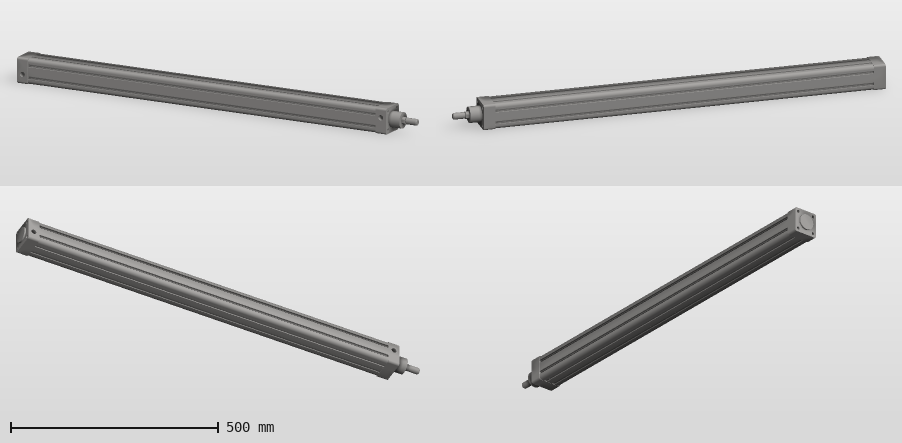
import cadquery as cq

total_length = 1079.0

cap_size = 65.0
cap_length = 29.0
cap_corner_radius = 5.0
spigot_diameter = 40.0
rear_spigot_length = 4.0
front_spigot_length = 29.0

mount_hole_spacing = 45.0
mount_hole_diameter = 8.0
mount_hole_depth = 16.0

port_diameter = 13.0
port_depth = 11.0
port_offset = 9.0

tube_size = 64.0
tube_corner_radius = 9.0
side_slot_offset = 15.0
side_slot_mouth_width = 8.0
side_slot_mouth_depth = 4.0
side_slot_width = 3.0
side_slot_depth = 6.0
top_slot_offset = 12.0
top_slot_width = 6.0
top_slot_depth = 2.0

rod_diameter = 18.0
neck_length = 9.0
flats_width = 16.0
thread_diameter = 16.0
thread_length = 31.0
thread_chamfer = 2.0

rear_cap_start = rear_spigot_length
tube_start = rear_cap_start + cap_length
neck_start = total_length - thread_length - neck_length
front_face = neck_start - front_spigot_length
tube_end = front_face - cap_length
thread_start = neck_start + neck_length


def plane_at(x):
    """Sketch plane facing +X: local x is +Y, local y is +Z."""
    return cq.Workplane("YZ", origin=(x, 0, 0))


def square_bar(start, length, size, corner_radius):
    """Square bar along X with rounded long edges."""
    return plane_at(start).rect(size, size).extrude(length).edges("|X").fillet(corner_radius)


def mount_holes(face_x, direction):
    """Four round cutters starting at a cap's outer face, running along direction (+1 or -1)."""
    return (
        plane_at(face_x)
        .rect(mount_hole_spacing, mount_hole_spacing, forConstruction=True)
        .vertices()
        .circle(mount_hole_diameter / 2)
        .extrude(direction * mount_hole_depth)
    )


def port(x, z):
    """Round blind cutter entering a cap from its -Y side."""
    return (
        cq.Workplane("XZ", origin=(x, -cap_size / 2, z))
        .circle(port_diameter / 2)
        .extrude(-port_depth)
    )


def make_rear_cap():
    spigot = plane_at(0).circle(spigot_diameter / 2).extrude(rear_spigot_length)
    return (
        square_bar(rear_cap_start, cap_length, cap_size, cap_corner_radius)
        .union(spigot)
        .cut(mount_holes(rear_cap_start, 1))
        .cut(port(rear_cap_start + cap_length / 2, -port_offset))
    )


def make_front_cap():
    spigot = plane_at(front_face).circle(spigot_diameter / 2).extrude(front_spigot_length)
    return (
        square_bar(tube_end, cap_length, cap_size, cap_corner_radius)
        .union(spigot)
        .cut(mount_holes(front_face, -1))
        .cut(port(tube_end + cap_length / 2, port_offset))
    )


def slot_pair(centres, width_y, width_z):
    """Two rectangular cutters along the tube, centred on (y, z) points so half lies outside the tube."""
    return plane_at(tube_start).pushPoints(centres).rect(width_y, width_z).extrude(tube_end - tube_start)


def make_tube():
    """Bar with two stepped slots in each Y side and two shallow grooves in each Z side."""
    tube = square_bar(tube_start, tube_end - tube_start, tube_size, tube_corner_radius)
    for face in (-tube_size / 2, tube_size / 2):
        side_centres = [(face, -side_slot_offset), (face, side_slot_offset)]
        top_centres = [(-top_slot_offset, face), (top_slot_offset, face)]
        tube = (
            tube.cut(slot_pair(side_centres, 2 * side_slot_mouth_depth, side_slot_mouth_width))
            .cut(slot_pair(side_centres, 2 * side_slot_depth, side_slot_width))
            .cut(slot_pair(top_centres, top_slot_width, 2 * top_slot_depth))
        )
    return tube


def make_rod():
    """Neck with two wrench flats facing -Y and +Y, then a chamfered thread cylinder."""
    flats = plane_at(neck_start).rect(flats_width, rod_diameter).extrude(neck_length)
    neck = plane_at(neck_start).circle(rod_diameter / 2).extrude(neck_length).intersect(flats)
    thread = (
        plane_at(thread_start)
        .circle(thread_diameter / 2)
        .extrude(thread_length)
        .faces("<X or >X")
        .chamfer(thread_chamfer)
    )
    return neck.union(thread)


rear_cap = make_rear_cap()
tube = make_tube()
front_cap = make_front_cap()
rod = make_rod()

result = cq.Compound.makeCompound([rear_cap.val(), tube.val(), front_cap.val(), rod.val()])